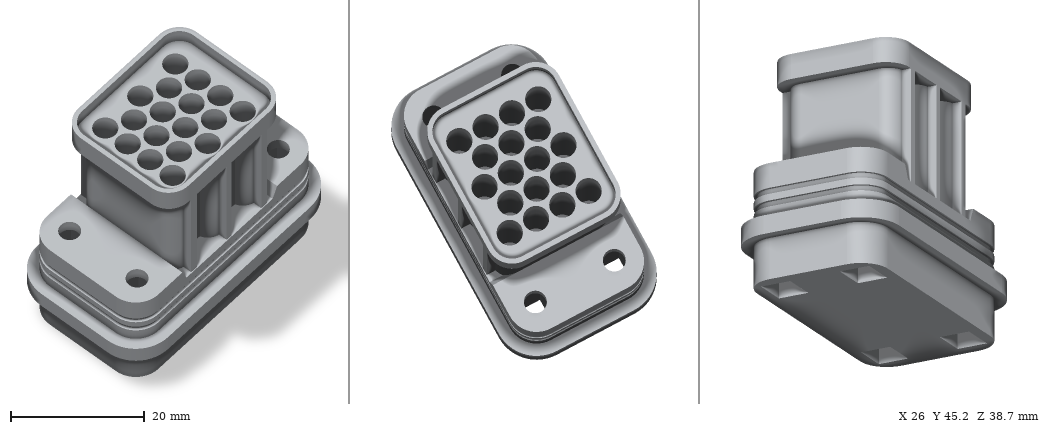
import cadquery as cq

flange_bottom = 6.6
flange_top = 9.6
groove_bottoms = (11.65, 13.7)
groove_height = 0.95
notch_floor = 16.4
body_top = 18.6
collar_bottom = 34.65
total_height = 38.7

flange_x, flange_y = 26.0, 45.2
flange_ledge = 1.9
flange_radius = 6.4
groove_depth = 0.45
body_x = flange_x - 2 * flange_ledge
body_y = flange_y - 2 * flange_ledge
body_radius = flange_radius - flange_ledge

collar_x, collar_y = 21.9, 26.35
collar_radius = 4.0
collar_wall = 0.75
recess_depth = 2.45

column_pitch = 4.47
row_pitch = 4.0
hole_diameter = 3.95
hole_rows = ((-2, 4), (-1, 3), (0, 4), (1, 3), (2, 4))
outer_column = 3 * column_pitch / 2
outer_row = 2 * row_pitch

lobe_radius = 2.8
web_half_x = 7.5
neck_half_y = outer_row + lobe_radius
rib_span = collar_x
outer_rib_width = 1.25
middle_rib_width = 1.1

notch_half_floor = 9.75
notch_half_top = neck_half_y

mount_x = outer_column
mount_y = 16.05
mount_diameter = 3.45
mount_roof_thickness = 2.0
pocket_half_x = 2.5
pocket_outward = 2.5
pocket_inward = 3.15


def rounded_block(size_x, size_y, radius, bottom, top):
    """Upright block with rounded vertical edges, centred on Z."""
    block = cq.Workplane("XY").workplane(offset=bottom).rect(size_x, size_y).extrude(top - bottom)
    return block.edges("|Z").fillet(radius)


def sharp_block(size_x, size_y, bottom, top, center_y=0.0):
    """Upright block with square edges."""
    plane = cq.Workplane("XY").workplane(offset=bottom).center(0, center_y)
    return plane.rect(size_x, size_y).extrude(top - bottom)


def make_body():
    """Body with a flange and two seal grooves."""
    body = rounded_block(body_x, body_y, body_radius, 0, body_top)
    body = body.union(rounded_block(flange_x, flange_y, flange_radius, flange_bottom, flange_top))
    for bottom in groove_bottoms:
        top = bottom + groove_height
        ring = sharp_block(flange_x, flange_y, bottom, top)
        core = rounded_block(
            body_x - 2 * groove_depth, body_y - 2 * groove_depth, body_radius - groove_depth, bottom, top
        )
        body = body.cut(ring.cut(core))
    return body


def make_side_notches():
    """Tapered channel across the body; the neck later fills its middle."""
    outline = [
        (-notch_half_floor, notch_floor),
        (notch_half_floor, notch_floor),
        (notch_half_top, body_top),
        (-notch_half_top, body_top),
    ]
    return cq.Workplane("YZ").polyline(outline).close().extrude(body_x / 2, both=True)


def make_neck():
    """Scalloped column following the contact holes, with three ribs on each side."""
    height = collar_bottom - notch_floor
    neck = sharp_block(2 * outer_column, 2 * neck_half_y, notch_floor, collar_bottom)
    neck = neck.union(sharp_block(2 * web_half_x, 2 * outer_row, notch_floor, collar_bottom))
    lobe_centers = [(x, y) for x in (-outer_column, outer_column) for y in (-outer_row, 0, outer_row)]
    lobes = cq.Workplane("XY").workplane(offset=notch_floor).pushPoints(lobe_centers)
    neck = neck.union(lobes.circle(lobe_radius).extrude(height))
    ribs = ((-outer_row, outer_rib_width), (0, middle_rib_width), (outer_row, outer_rib_width))
    for row, width in ribs:
        neck = neck.union(sharp_block(rib_span, width, notch_floor, collar_bottom, row))
    return neck


def make_collar():
    """Rounded collar with a shallow recess in its top."""
    collar = rounded_block(collar_x, collar_y, collar_radius, collar_bottom, total_height)
    recess = rounded_block(
        collar_x - 2 * collar_wall,
        collar_y - 2 * collar_wall,
        collar_radius - collar_wall,
        total_height - recess_depth,
        total_height,
    )
    return collar.cut(recess)


def make_contact_holes():
    """Blind contact holes from the collar recess down to the level of the body top."""
    centers = [
        ((column - (count - 1) / 2) * column_pitch, row * row_pitch)
        for row, count in hole_rows
        for column in range(count)
    ]
    holes = cq.Workplane("XY").workplane(offset=body_top).pushPoints(centers)
    return holes.circle(hole_diameter / 2).extrude(total_height - body_top)


def make_mounting_holes():
    """Four round holes through the body top, each opening into a square-cornered pocket from below."""
    corners = cq.Workplane("XY").rect(2 * mount_x, 2 * mount_y, forConstruction=True).vertices()
    cutter = corners.circle(mount_diameter / 2).extrude(body_top)
    pocket_length = pocket_outward + pocket_inward
    pocket_y = mount_y + (pocket_outward - pocket_inward) / 2
    pockets = cq.Workplane("XY").rect(2 * mount_x, 2 * pocket_y, forConstruction=True).vertices()
    pockets = pockets.rect(2 * pocket_half_x, pocket_length)
    return cutter.union(pockets.extrude(body_top - mount_roof_thickness))


result = make_body().cut(make_side_notches()).union(make_neck()).union(make_collar())
result = result.cut(make_contact_holes()).cut(make_mounting_holes())